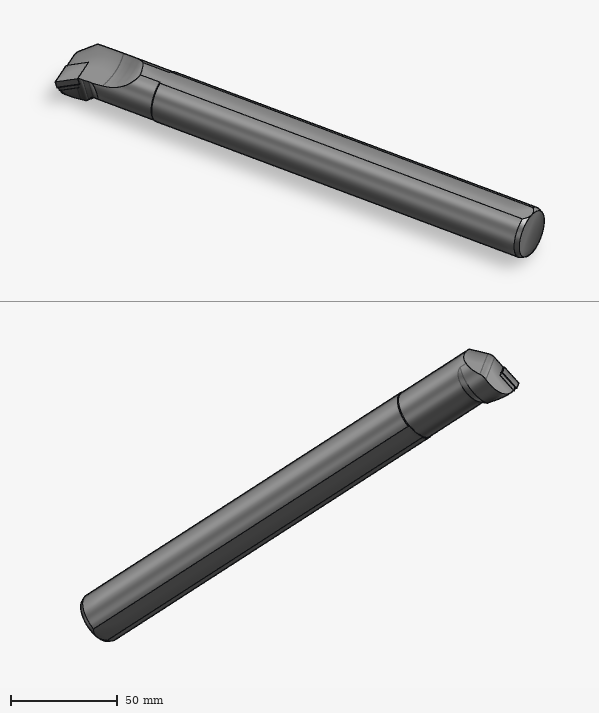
import cadquery as cq
import math

LENGTH = 250.0
AXIS = cq.Vector(1, 0, 0)

SHANK_RADIUS = 12.5
NECK_RADIUS = 12.2
FLAT_HEIGHT = 11.5
NECK_END = 49.8
STEP_LENGTH = 0.5
END_CHAMFER_LENGTH = 2.2
END_CHAMFER_DEPTH = 1.0

HEAD_RADIUS = 13.8
HEAD_Y = -1.8
HEAD_Z = -0.8
HEAD_LENGTH = 11.5
HEAD_TAPER_LENGTH = 4.2
TAPER_END_RADIUS = 12.0

TIP_X = 0.2
TIP_Y = -17.0
RAKE_SLOPE_X = 0.09
RAKE_SLOPE_Y = 0.25
RAKE = cq.Plane(
    origin=(TIP_X, TIP_Y, 0),
    xDir=(1, 0, RAKE_SLOPE_X),
    normal=(-RAKE_SLOPE_X, -RAKE_SLOPE_Y, 1),
)

RELIEF_CENTER_X = -9.5
RELIEF_CENTER_Y = 15.5
RELIEF_FLAT_RADIUS = 34.0
RUNOUT_RADIUS = 27.5

INSERT_SIDE = 10.8
INSERT_ANGLE = 60.0
INSERT_THICKNESS = 4.2
PAD_THICKNESS = 2.5
PAD_INSET = 0.38

HEAD_INSET = 0.5
FLANK_START_X = 7.8
FLANK_LEVEL_Y = 5.5
FLANK_BEND_X = 12.0
FLANK_END_X = 15.2
FLANK_RUNOUT_RADIUS = 6.2
CORNER_START_Y = 19.5
CORNER_END_Y = 29.2
CORNER_LENGTH = 9.0
CORNER_FILLET = 5.0

MARGIN = 50.0


def rhombus(inset, top, thickness):
    """Rhombic plate below the rake plane, inset on its two outer sides."""
    angle = math.radians(INSERT_ANGLE)
    far_x = INSERT_SIDE * math.sin(angle)
    slope = 1 / math.tan(angle)
    outer_y = inset / math.sin(angle)
    return (
        cq.Workplane(RAKE)
        .workplane(offset=-top)
        .polyline([
            (inset, outer_y + inset * slope),
            (far_x, outer_y + far_x * slope),
            (far_x, INSERT_SIDE + far_x * slope),
            (inset, INSERT_SIDE + inset * slope),
        ])
        .close()
        .extrude(-thickness)
    )


def make_shank():
    """Round shank with two flats, stepping down to a neck with one flat."""
    profile = [
        (0, 0),
        (0, NECK_RADIUS),
        (NECK_END, NECK_RADIUS),
        (NECK_END + STEP_LENGTH, SHANK_RADIUS),
        (LENGTH - END_CHAMFER_LENGTH, SHANK_RADIUS),
        (LENGTH, SHANK_RADIUS - END_CHAMFER_DEPTH),
        (LENGTH, 0),
    ]
    bar = cq.Workplane("XY").polyline(profile).close().revolve(360, (0, 0, 0), (1, 0, 0))
    top_flat = cq.Workplane("XY").box(LENGTH, MARGIN, MARGIN, centered=(False, True, False))
    bottom_flat = cq.Workplane("XY").box(LENGTH, MARGIN, MARGIN, centered=(False, True, False))
    return (
        bar.cut(top_flat.translate((0, 0, FLAT_HEIGHT)))
        .cut(bottom_flat.translate((NECK_END, 0, -FLAT_HEIGHT - MARGIN)))
    )


def make_head():
    """Off-axis cylinder that tapers into the neck."""
    cylinder = (
        cq.Workplane("YZ", origin=(0, HEAD_Y, HEAD_Z)).circle(HEAD_RADIUS).extrude(HEAD_LENGTH)
    )
    large_end = cq.Wire.makeCircle(HEAD_RADIUS, cq.Vector(HEAD_LENGTH, HEAD_Y, HEAD_Z), AXIS)
    taper_end = cq.Vector(HEAD_LENGTH + HEAD_TAPER_LENGTH, 0, 0)
    small_end = cq.Wire.makeCircle(TAPER_END_RADIUS, taper_end, AXIS)
    taper = cq.Workplane(cq.Solid.makeLoft([large_end, small_end], True))
    return cylinder.union(taper)


def make_relief_cutter():
    """Turned cutter with a flat face on the rake plane and a curved run-out."""
    runout_reach = RELIEF_FLAT_RADIUS + RUNOUT_RADIUS
    arc_mid = (
        RELIEF_FLAT_RADIUS + RUNOUT_RADIUS * math.sin(math.pi / 4),
        RUNOUT_RADIUS * (1 - math.cos(math.pi / 4)),
    )
    center = RAKE.toWorldCoords((RELIEF_CENTER_X, RELIEF_CENTER_Y, 0))
    axial_plane = cq.Plane(origin=center, xDir=RAKE.xDir, normal=-RAKE.yDir)
    return (
        cq.Workplane(axial_plane)
        .lineTo(RELIEF_FLAT_RADIUS, 0)
        .threePointArc(arc_mid, (runout_reach, RUNOUT_RADIUS))
        .lineTo(0, RUNOUT_RADIUS)
        .close()
        .revolve(360, (0, 0, 0), (0, 1, 0))
    )


def normal_prism():
    """Workplane well below the bar, parallel to the rake plane."""
    return cq.Workplane(RAKE).workplane(offset=-MARGIN)


def make_front_cutter():
    """Material removed ahead of the front face and its blended corner."""
    front = (
        normal_prism()
        .polyline([
            (HEAD_INSET, -MARGIN),
            (HEAD_INSET, CORNER_START_Y),
            (HEAD_INSET + CORNER_LENGTH, CORNER_END_Y),
            (HEAD_INSET + CORNER_LENGTH, MARGIN),
            (-MARGIN, MARGIN),
            (-MARGIN, -MARGIN),
        ])
        .close()
        .extrude(2 * MARGIN)
    )
    corner = RAKE.toWorldCoords((HEAD_INSET, CORNER_START_Y, 0))
    return front.edges(cq.selectors.NearestToPointSelector(corner)).fillet(CORNER_FILLET)


def make_flank_cutter():
    """Clearance on the cutting side, following the insert and running out."""
    slope = 1 / math.tan(math.radians(INSERT_ANGLE))
    start_y = HEAD_INSET + FLANK_START_X * slope
    mid = math.pi / 4
    arc_mid = (
        FLANK_END_X + FLANK_RUNOUT_RADIUS * math.sin(mid),
        FLANK_LEVEL_Y - FLANK_RUNOUT_RADIUS * (1 - math.cos(mid)),
    )
    return (
        normal_prism()
        .moveTo(-MARGIN, start_y - (FLANK_START_X + MARGIN) * slope)
        .lineTo(FLANK_START_X, start_y)
        .tangentArcPoint((FLANK_BEND_X, FLANK_LEVEL_Y), relative=False)
        .lineTo(FLANK_END_X, FLANK_LEVEL_Y)
        .threePointArc(
            arc_mid,
            (FLANK_END_X + FLANK_RUNOUT_RADIUS, FLANK_LEVEL_Y - FLANK_RUNOUT_RADIUS),
        )
        .lineTo(FLANK_END_X + FLANK_RUNOUT_RADIUS, -MARGIN)
        .lineTo(-MARGIN, -MARGIN)
        .close()
        .extrude(2 * MARGIN)
    )


def make_holder():
    """Boring bar with the seat and support pad for the insert."""
    bar = make_shank().union(make_head())
    for cutter in (make_relief_cutter(), make_front_cutter(), make_flank_cutter()):
        bar = bar.cut(cutter)
    pad = rhombus(PAD_INSET, INSERT_THICKNESS, PAD_THICKNESS)
    seat = rhombus(0, 0, INSERT_THICKNESS)
    return bar.cut(seat).union(pad)


insert = rhombus(0, 0, INSERT_THICKNESS)
holder = make_holder()

result = cq.Compound.makeCompound([holder.solids().val(), insert.val()])